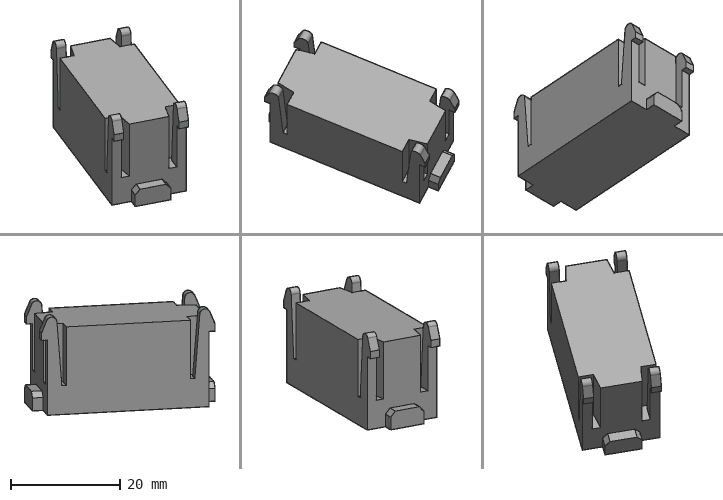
import cadquery as cq
import math

overall_length = 34.25
tab_reach = 2.0
body_length = overall_length - 2 * tab_reach
body_width = 14.6
body_height = 16.5
half_length = body_length / 2
half_width = body_width / 2

tab_width = 7.0
tab_height = 3.5
tab_chamfer_width = 0.95
tab_chamfer_height = 1.03

notch_floor = 5.48
notch_length = 3.5
notch_depth_outer = 3.42
notch_depth_inner = 2.8

clip_height = 18.5
clip_thickness = 1.9
hook_reach = 1.13
hook_bottom = 14.18
hook_shoulder = 15.6
arm_foot_width = 2.67
tip_radius = 1.0
tip_inset = 0.75
tip_center_z = clip_height - tip_radius


def tip_tangent(x, z, side):
    """Point where a line from (x, z) touches the tip circle; side picks which of the two."""
    dx = x - tip_inset
    dz = z - tip_center_z
    angle = math.atan2(dz, dx) + side * math.acos(tip_radius / math.hypot(dx, dz))
    return (tip_inset + tip_radius * math.cos(angle), tip_center_z + tip_radius * math.sin(angle))


def make_body():
    return cq.Workplane("XY").box(body_length, body_width, body_height, centered=(True, True, False))


def make_tabs():
    """Both end tabs as one bar running through the body."""
    half_tab = tab_width / 2
    half_tab_top = half_tab - tab_chamfer_width
    shoulder = tab_height - tab_chamfer_height
    outline = [
        (-half_tab, 0),
        (half_tab, 0),
        (half_tab, shoulder),
        (half_tab_top, tab_height),
        (-half_tab_top, tab_height),
        (-half_tab, shoulder),
    ]
    return cq.Workplane("YZ").polyline(outline).close().extrude(overall_length / 2, both=True)


def make_notch():
    """Notch at the -X, -Y corner, open at the top."""
    outline = [
        (-half_length, -half_width),
        (-half_length + notch_length, -half_width),
        (-half_length + notch_length, -half_width + notch_depth_inner),
        (-half_length, -half_width + notch_depth_outer),
    ]
    plane = cq.Workplane("XY").workplane(offset=notch_floor)
    return plane.polyline(outline).close().extrude(body_height - notch_floor)


def make_clip():
    """Hooked arm at the -X, -Y corner, rising from the notch floor."""
    return (
        cq.Workplane("XZ", origin=(-half_length, -half_width, 0))
        .moveTo(0, notch_floor)
        .lineTo(0, hook_bottom)
        .lineTo(-hook_reach, hook_bottom)
        .lineTo(-hook_reach, hook_shoulder)
        .lineTo(*tip_tangent(-hook_reach, hook_shoulder, -1))
        .threePointArc((tip_inset, clip_height), tip_tangent(arm_foot_width, notch_floor, 1))
        .lineTo(arm_foot_width, notch_floor)
        .close()
        .extrude(-clip_thickness)
    )


def at_all_corners(shape):
    """The shape at the -X, -Y corner together with its copies at the other three corners."""
    left_pair = shape.union(shape.mirror("XZ"))
    return left_pair.union(left_pair.mirror("YZ"))


result = make_body()
result = result.cut(at_all_corners(make_notch()))
result = result.union(make_tabs())
result = result.union(at_all_corners(make_clip()))